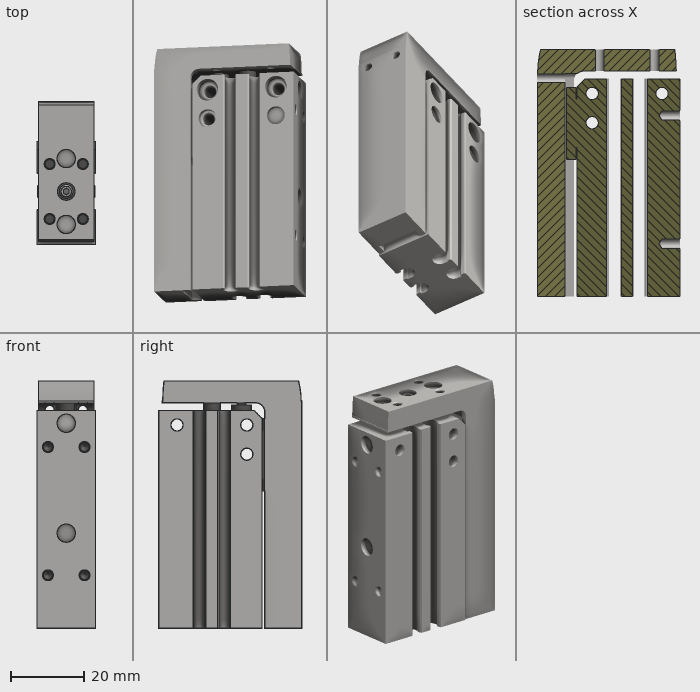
import cadquery as cq
import math

TOTAL_HEIGHT = 67.5
TOTAL_DEPTH = 39.0
BODY_WIDTH = 16.0
BODY_DEPTH = 28.2
BODY_HEIGHT = 59.5
BODY_CHAMFER = 2.2

TABLE_WIDTH = 15.2
WALL_FACE_Y = 28.9
ARM_FRONT_Y = 0.95
ARM_BOTTOM_Z = 61.5
INNER_RADIUS = 2.4
BULGE_BASE_Z = 61.95
END_LEDGE = 0.15
FRONT_BULGE = 0.35
BACK_BULGE = 0.75

CHANNEL_HALF_WIDTH = 5.9
CHANNEL_TOP_Z = 60.95
CHANNEL_FLOOR_Y = 31.3
CHANNEL_CORNER_RADIUS = 1.35
CHANNEL_HOLE_DIAMETER = 2.4
GUIDE_CLEARANCE = 0.2
GUIDE_BOTTOM_Z = 37.45
GUIDE_TOP_Z = 57.25
GUIDE_CAP_HEIGHT = 3.2

ROD_Y = 14.5
ROD_DIAMETER = 4.6
STUD_BORE_DIAMETER = 4.8
STUD_DIAMETER = 3.8
STUD_TOP_Z = 66.75
STUD_CHAMFER = 0.5
SOCKET_ACROSS_FLATS = 1.55
SOCKET_DEPTH = 1.0
STOPPER_Y = 22.55
STOPPER_DIAMETER = 5.5
STOPPER_HEIGHT = 1.5
STOPPER_NECK_DIAMETER = 2.4

POCKET_DIAMETER = 5.0
POCKET_DEPTH = 1.5
THREAD_DIAMETER = 2.4
THREAD_MOUTH_DIAMETER = 3.0
THREAD_DEPTH = 5.0
DRILL_POINT_ANGLE = 118
ARM_POCKET_OFFSET = 9.0
ARM_THREAD_SPACING = (9.05, 15.0)
FRONT_POCKET_Z = (55.95, 26.0)
FRONT_THREAD_SPACING = (10.0, 34.95)
FRONT_THREAD_CENTER_Z = 32.0

SIDE_HOLE_Y = (5.0, 24.0)
MOUNT_HOLE_Z = 55.5
PORT_Z = 47.5
MOUNT_BORE_DIAMETER = 6.0
MOUNT_BORE_DEPTH = 3.3
SIDE_DRILL_DIAMETER = 3.25
SIDE_DRILL_MOUTH_DIAMETER = 3.8

GROOVE_CENTER_Y = 14.5
GROOVE_OFFSET = 3.5
GROOVE_NECK_WIDTH = 3.25
GROOVE_NECK_DEPTH = 1.55
GROOVE_DIAMETER = 4.0
GROOVE_ROUND_DEPTH = 2.85
GROOVE_LIP_CHAMFER = 0.3
RIB_RECESS = 0.2
RIB_CHAMFER = 0.35


def bar(diameter, start, end):
    """Round bar between two points."""
    axis = cq.Vector(*end) - cq.Vector(*start)
    return cq.Workplane(cq.Solid.makeCylinder(diameter / 2, axis.Length, cq.Vector(*start), axis))


def cone(base_diameter, end_diameter, depth, point, direction):
    """Cone that narrows from the base diameter at the point to the end diameter at the depth."""
    return cq.Workplane(
        cq.Solid.makeCone(
            base_diameter / 2, end_diameter / 2, depth, cq.Vector(*point), cq.Vector(*direction)
        )
    )


def countersink(mouth, drill, point, direction):
    """Cone that narrows at 45 degrees from the mouth diameter to the drill diameter."""
    return cone(mouth, drill, (mouth - drill) / 2, point, direction)


def box(x_half, y_range, z_range):
    """Box centred on X = 0."""
    return cq.Workplane().box(
        2 * x_half, y_range[1] - y_range[0], z_range[1] - z_range[0], centered=(True, False, False)
    ).translate((0, y_range[0], z_range[0]))


def table_profile():
    def bulge_middle(base_y, inset):
        """Middle of an arc that leaves the base upright and leans in by the inset at the top."""
        rise = TOTAL_HEIGHT - BULGE_BASE_Z
        radius = (rise**2 + inset**2) / (2 * abs(inset))
        half_angle = math.asin(rise / radius) / 2
        lean = math.copysign(radius * (1 - math.cos(half_angle)), inset)
        return base_y + lean, BULGE_BASE_Z + radius * math.sin(half_angle)

    back_foot_y = TOTAL_DEPTH - END_LEDGE
    front_foot_y = ARM_FRONT_Y + END_LEDGE
    return (
        cq.Workplane("YZ", origin=(-TABLE_WIDTH / 2, 0, 0))
        .moveTo(WALL_FACE_Y, 0)
        .lineTo(TOTAL_DEPTH, 0)
        .lineTo(TOTAL_DEPTH, BULGE_BASE_Z)
        .lineTo(back_foot_y, BULGE_BASE_Z)
        .threePointArc(bulge_middle(back_foot_y, -BACK_BULGE), (back_foot_y - BACK_BULGE, TOTAL_HEIGHT))
        .lineTo(front_foot_y + FRONT_BULGE, TOTAL_HEIGHT)
        .threePointArc(bulge_middle(front_foot_y, FRONT_BULGE), (front_foot_y, BULGE_BASE_Z))
        .lineTo(ARM_FRONT_Y, BULGE_BASE_Z)
        .lineTo(ARM_FRONT_Y, ARM_BOTTOM_Z)
        .lineTo(WALL_FACE_Y - INNER_RADIUS, ARM_BOTTOM_Z)
        .radiusArc((WALL_FACE_Y, ARM_BOTTOM_Z - INNER_RADIUS), INNER_RADIUS)
        .close()
    )


def cut_guide_channel(table):
    """Cut a channel with rounded upper corners, and a through hole centred on each corner."""
    channel = box(
        CHANNEL_HALF_WIDTH, (WALL_FACE_Y - INNER_RADIUS, CHANNEL_FLOOR_Y), (0, CHANNEL_TOP_Z)
    ).edges("|Y and >Z").fillet(CHANNEL_CORNER_RADIUS)
    table = table.cut(channel)
    corner_x = CHANNEL_HALF_WIDTH - CHANNEL_CORNER_RADIUS
    corner_z = CHANNEL_TOP_Z - CHANNEL_CORNER_RADIUS
    for x in (-corner_x, corner_x):
        table = table.cut(
            bar(CHANNEL_HOLE_DIAMETER, (x, CHANNEL_FLOOR_Y, corner_z), (x, TOTAL_DEPTH, corner_z))
        )
    return table


def make_table():
    table = cut_guide_channel(table_profile().extrude(TABLE_WIDTH))
    pocket_floor = TOTAL_HEIGHT - POCKET_DEPTH
    top_recesses = (
        (ROD_Y - ARM_POCKET_OFFSET, POCKET_DIAMETER),
        (ROD_Y, STUD_BORE_DIAMETER),
        (ROD_Y + ARM_POCKET_OFFSET, POCKET_DIAMETER),
    )
    for y, diameter in top_recesses:
        table = table.cut(bar(diameter, (0, y, pocket_floor), (0, y, TOTAL_HEIGHT)))
    table = table.cut(bar(STUD_DIAMETER, (0, ROD_Y, ARM_BOTTOM_Z), (0, ROD_Y, pocket_floor)))

    width, length = ARM_THREAD_SPACING
    for x in (-width / 2, width / 2):
        for y in (ROD_Y - length / 2, ROD_Y + length / 2):
            top = (x, y, TOTAL_HEIGHT)
            table = table.cut(bar(THREAD_DIAMETER, (x, y, ARM_BOTTOM_Z), top))
            table = table.cut(countersink(THREAD_MOUTH_DIAMETER, THREAD_DIAMETER, top, (0, 0, -1)))
    return table


def groove_cutter(side):
    """Two round-bottomed grooves on one side (-1 or +1) and the recess over the rib between them."""
    face_x = BODY_WIDTH / 2

    def strip(points):
        return (
            cq.Workplane("XY")
            .polyline([(side * (face_x - depth), y) for depth, y in points])
            .close()
            .extrude(BODY_HEIGHT)
        )

    half_neck = GROOVE_NECK_WIDTH / 2
    radius = GROOVE_DIAMETER / 2
    rib_half = GROOVE_OFFSET - half_neck
    cutter = strip([
        (0, GROOVE_CENTER_Y - GROOVE_OFFSET),
        (RIB_RECESS + RIB_CHAMFER, GROOVE_CENTER_Y - GROOVE_OFFSET),
        (RIB_RECESS + RIB_CHAMFER, GROOVE_CENTER_Y - rib_half),
        (RIB_RECESS, GROOVE_CENTER_Y - rib_half + RIB_CHAMFER),
        (RIB_RECESS, GROOVE_CENTER_Y + rib_half - RIB_CHAMFER),
        (RIB_RECESS + RIB_CHAMFER, GROOVE_CENTER_Y + rib_half),
        (RIB_RECESS + RIB_CHAMFER, GROOVE_CENTER_Y + GROOVE_OFFSET),
        (0, GROOVE_CENTER_Y + GROOVE_OFFSET),
    ])
    for outward in (-1, 1):
        y = GROOVE_CENTER_Y + outward * GROOVE_OFFSET
        lip_y = y + outward * half_neck
        neck = strip([
            (0, y),
            (0, lip_y),
            (GROOVE_LIP_CHAMFER, lip_y - outward * GROOVE_LIP_CHAMFER),
            (GROOVE_NECK_DEPTH, lip_y - outward * GROOVE_LIP_CHAMFER),
            (GROOVE_NECK_DEPTH, y - outward * half_neck),
            (0, y - outward * half_neck),
        ])
        wide = strip([
            (GROOVE_NECK_DEPTH, y - radius),
            (GROOVE_ROUND_DEPTH, y - radius),
            (GROOVE_ROUND_DEPTH, y + radius),
            (GROOVE_NECK_DEPTH, y + radius),
        ])
        round_x = side * (face_x - GROOVE_ROUND_DEPTH)
        bottom = bar(GROOVE_DIAMETER, (round_x, y, 0), (round_x, y, BODY_HEIGHT))
        cutter = cutter.union(neck).union(wide).union(bottom)
    return cutter


def front_holes():
    """Locating pockets and blind threaded holes in the -Y face."""
    inward = (0, 1, 0)
    holes = [bar(POCKET_DIAMETER, (0, 0, z), (0, POCKET_DEPTH, z)) for z in FRONT_POCKET_Z]
    point_depth = THREAD_DIAMETER / 2 / math.tan(math.radians(DRILL_POINT_ANGLE / 2))
    width, height = FRONT_THREAD_SPACING
    for x in (-width / 2, width / 2):
        for z in (FRONT_THREAD_CENTER_Z - height / 2, FRONT_THREAD_CENTER_Z + height / 2):
            mouth = (x, 0, z)
            floor = (x, THREAD_DEPTH, z)
            holes.append(bar(THREAD_DIAMETER, mouth, floor))
            holes.append(countersink(THREAD_MOUTH_DIAMETER, THREAD_DIAMETER, mouth, inward))
            holes.append(cone(THREAD_DIAMETER, 0, point_depth, floor, inward))
    return holes


def side_holes():
    """Counterbored mounting holes and shallow ports in the -X face."""
    side_x = -BODY_WIDTH / 2
    front_y, back_y = SIDE_HOLE_Y
    spots = (
        (front_y, MOUNT_HOLE_Z, MOUNT_BORE_DIAMETER, MOUNT_BORE_DEPTH, True),
        (back_y, MOUNT_HOLE_Z, MOUNT_BORE_DIAMETER, MOUNT_BORE_DEPTH, True),
        (front_y, PORT_Z, POCKET_DIAMETER, POCKET_DEPTH, False),
        (back_y, PORT_Z, POCKET_DIAMETER, POCKET_DEPTH, True),
    )
    holes = []
    for y, z, diameter, depth, through in spots:
        floor = (side_x + depth, y, z)
        holes.append(bar(diameter, (side_x, y, z), floor))
        if through:
            holes.append(bar(SIDE_DRILL_DIAMETER, floor, (-side_x, y, z)))
            holes.append(
                countersink(SIDE_DRILL_MOUTH_DIAMETER, SIDE_DRILL_DIAMETER, floor, (1, 0, 0))
            )
    return holes


def guide_block():
    """Block behind the body, with an end cap above and below that stands clear of the body."""
    half_width = CHANNEL_HALF_WIDTH - GUIDE_CLEARANCE
    back_y = CHANNEL_FLOOR_Y - GUIDE_CLEARANCE
    block = box(
        half_width,
        (BODY_DEPTH, back_y),
        (GUIDE_BOTTOM_Z + GUIDE_CAP_HEIGHT, GUIDE_TOP_Z - GUIDE_CAP_HEIGHT),
    )
    caps = box(half_width, (BODY_DEPTH + GUIDE_CLEARANCE, back_y), (GUIDE_BOTTOM_Z, GUIDE_TOP_Z))
    return block.union(caps)


def rod_with_stud():
    """Piston rod up to the arm, then a stud through the arm with a hexagon socket in its end."""
    rod = bar(ROD_DIAMETER, (0, ROD_Y, BODY_HEIGHT), (0, ROD_Y, ARM_BOTTOM_Z))
    stud = bar(STUD_DIAMETER, (0, ROD_Y, ARM_BOTTOM_Z), (0, ROD_Y, STUD_TOP_Z))
    stud = stud.faces(">Z").chamfer(STUD_CHAMFER)
    socket = (
        cq.Workplane("XY", origin=(0, ROD_Y, STUD_TOP_Z - SOCKET_DEPTH))
        .polygon(6, SOCKET_ACROSS_FLATS, circumscribed=True)
        .extrude(SOCKET_DEPTH)
    )
    return rod.union(stud).cut(socket)


def stopper():
    """Collar on top of the body with a thinner neck that meets the arm."""
    collar_top = (0, STOPPER_Y, BODY_HEIGHT + STOPPER_HEIGHT)
    collar = bar(STOPPER_DIAMETER, (0, STOPPER_Y, BODY_HEIGHT), collar_top)
    return collar.union(bar(STOPPER_NECK_DIAMETER, collar_top, (0, STOPPER_Y, ARM_BOTTOM_Z)))


def make_body():
    body = box(BODY_WIDTH / 2, (0, BODY_DEPTH), (0, BODY_HEIGHT))
    body = body.edges(">Y and >Z").chamfer(BODY_CHAMFER)
    for side in (-1, 1):
        body = body.cut(groove_cutter(side))
    for hole in front_holes() + side_holes():
        body = body.cut(hole)
    return body.union(guide_block()).union(rod_with_stud()).union(stopper())


table = make_table()
body = make_body()

result = cq.Compound.makeCompound([*table.solids().vals(), *body.solids().vals()])